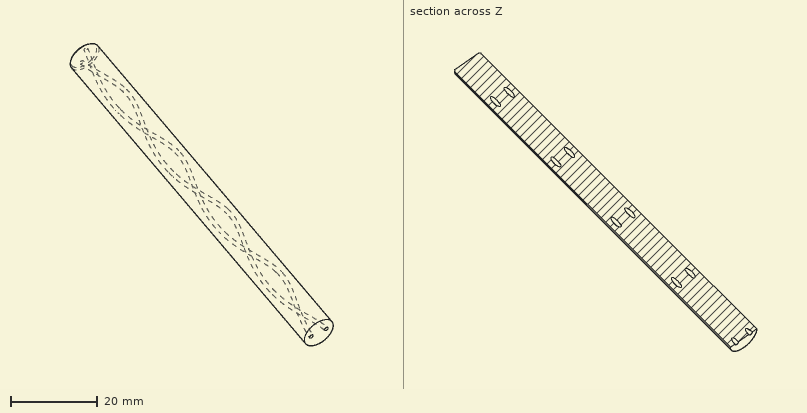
import cadquery as cq
import math

rod_length = 100.0
rod_diameter = 8.0
end_chamfer = 0.4

hole_diameter = 1.0
hole_offset_y = 0.6
hole_offset_z = 2.0

helix_angle = 30.0
helix_pitch = math.pi * rod_diameter / math.tan(math.radians(helix_angle))
twist_angle = 360.0 * rod_length / helix_pitch

start_x = -rod_length / 2


def end_plane():
    return cq.Workplane("YZ", origin=(start_x, 0, 0))


def make_rod():
    rod = end_plane().circle(rod_diameter / 2).extrude(rod_length)
    return rod.faces("<X").chamfer(end_chamfer)


def make_helical_hole(center_y, center_z):
    section = end_plane().moveTo(center_y, center_z).circle(hole_diameter / 2)
    return section.twistExtrude(rod_length, twist_angle)


result = make_rod()
for side in (1, -1):
    result = result.cut(make_helical_hole(side * hole_offset_y, side * hole_offset_z))